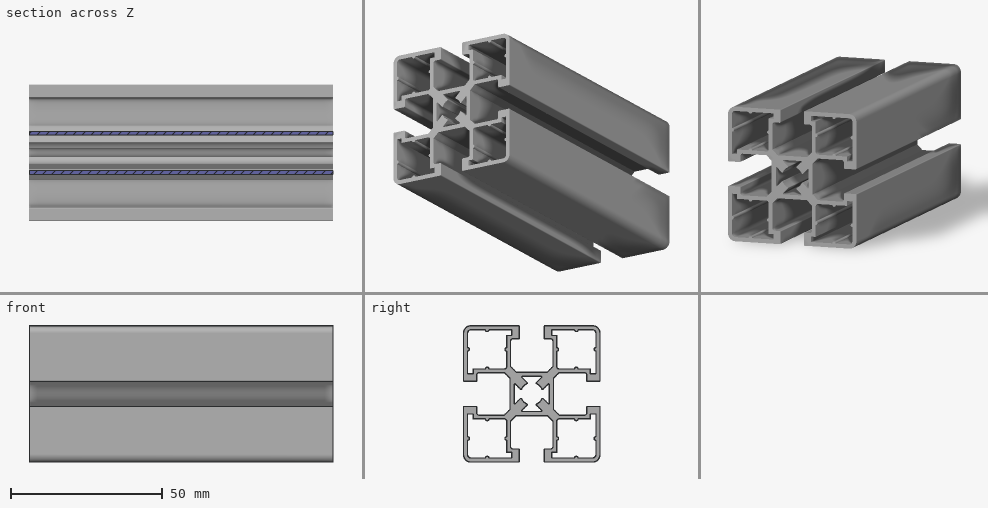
import cadquery as cq
import math

length = 100.0
side = 45.0
outer_radius = 2.5
outer_wall = 1.4
web_wall = 1.3

slot_opening = 8.2
slot_width = 13.9
slot_floor = 7.2
lip_depth = 4.4
slot_corner_radius = 0.7
slot_floor_chamfer = 1.8
lip_edge_radius = 0.3

notch_edge = 6.65
notch_height = 1.8
chamber_fillet = 0.8
rib_radius = 0.6

core_wall = 1.45
core_corner_radius = 0.2
arm_width = 3.1
arm_tip_radius = 0.2
bore_radius = 3.7

half = side / 2
lip_bottom = half - lip_depth
chamber_inner = slot_width / 2 + web_wall
chamber_outer = half - outer_wall
chamber_centre = (chamber_inner + chamber_outer) / 2
core_half = slot_floor - core_wall
tolerance = 0.01


def rectangle(y_min, y_max, z_min, z_max):
    """Full-length block over a rectangle of the profile."""
    return (
        cq.Workplane("YZ")
        .center((y_min + y_max) / 2, (z_min + z_max) / 2)
        .rect(y_max - y_min, z_max - z_min)
        .extrude(length / 2, both=True)
    )


def cylinder(y, z, radius):
    """Full-length round bar at a point of the profile."""
    return cq.Workplane("YZ").center(y, z).circle(radius).extrude(length / 2, both=True)


def turned(body, quarter_turns):
    """Body turned about the profile axis."""
    return body.rotate((0, 0, 0), (1, 0, 0), 90 * quarter_turns)


def slot():
    """Undercut slot in the top face."""
    opening = rectangle(-slot_opening / 2, slot_opening / 2, lip_bottom, half)
    channel = rectangle(-slot_width / 2, slot_width / 2, slot_floor, lip_bottom)
    channel = channel.edges("|X and >Z").fillet(slot_corner_radius)
    channel = channel.edges("|X and <Z").chamfer(slot_floor_chamfer)
    return opening.union(channel)


def chamber():
    """Hollow of the +Y +Z corner, with a rib in the middle of each of its walls."""
    notch_floor = chamber_outer - notch_height
    hollow = rectangle(chamber_inner, chamber_outer, chamber_inner, chamber_outer)
    hollow = hollow.edges("|X and <Y and <Z").fillet(chamber_fillet)
    hollow = hollow.union(rectangle(notch_edge, chamber_outer, notch_floor, chamber_outer))
    hollow = hollow.union(rectangle(notch_floor, chamber_outer, notch_edge, chamber_outer))
    hollow = hollow.edges("|X and >Y and >Z").fillet(outer_radius - outer_wall)
    for wall_face in (chamber_inner, chamber_outer):
        hollow = hollow.cut(cylinder(wall_face, chamber_centre, rib_radius))
        hollow = hollow.cut(cylinder(chamber_centre, wall_face, rib_radius))
    return hollow


def arm():
    """Diagonal arm from the axis to the +Y +Z corner of the core."""
    bar = rectangle(0, math.hypot(core_half, core_half), -arm_width / 2, arm_width / 2)
    return bar.rotate((0, 0, 0), (1, 0, 0), 45)


def is_arm_tip(edge):
    """True for the edges where the arm sides meet the bore."""
    centre = edge.Center()
    return abs(math.hypot(centre.y, centre.z) - bore_radius) < tolerance


def is_lip_edge(edge):
    """True for the edges of the slot lips along the slot opening."""
    centre = edge.Center()
    across, outward = sorted((abs(centre.y), abs(centre.z)))
    return abs(across - slot_opening / 2) < tolerance and outward > lip_bottom - tolerance


def core_void():
    """Hollow of the core: the square between the arms joined to the bore, edges rounded."""
    void = rectangle(-core_half, core_half, -core_half, core_half)
    for turn in range(4):
        void = void.cut(turned(arm(), turn))
    void = void.union(cylinder(0, 0, bore_radius))
    for side_face in ("<Y", ">Y", "<Z", ">Z"):
        void = void.faces(side_face).edges("|X").fillet(core_corner_radius)
    return void.edges("|X").filter(is_arm_tip).fillet(arm_tip_radius)


profile = rectangle(-half, half, -half, half).edges("|X").fillet(outer_radius)
for turn in range(4):
    profile = profile.cut(turned(slot(), turn)).cut(turned(chamber(), turn))
profile = profile.edges("|X").filter(is_lip_edge).fillet(lip_edge_radius)

result = profile.cut(core_void())